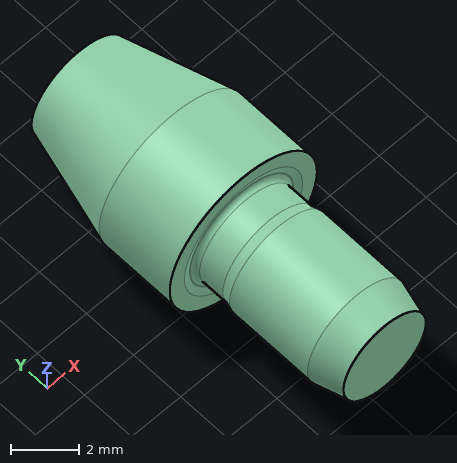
import cadquery as cq
import math

total_length = 13.0
stem_length = 6.0
collar_length = 3.0
stem_tip_length = 1.2
groove_length = 1.5

collar_radius = 6.0 / 2
stem_radius = 4.0 / 2
neck_radius = 3.8 / 2

taper = math.tan(math.radians(15))

undercut_outer_radius = 2.4
undercut_floor_radius = 2.12
undercut_fillet = 0.2

head_length = total_length - stem_length
nose_radius = collar_radius - (head_length - collar_length) * taper
stem_tip_radius = stem_radius - stem_tip_length * taper
neck_end = groove_length - (stem_radius - neck_radius) / taper
undercut_depth = (undercut_outer_radius - undercut_floor_radius) * taper

fillet_start_y = undercut_depth - undercut_fillet
fillet_end_radius = neck_radius + undercut_fillet
fillet_middle = (
    fillet_end_radius - undercut_fillet * math.sqrt(0.5),
    fillet_start_y + undercut_fillet * math.sqrt(0.5),
)

half_section = (
    cq.Workplane("XY")
    .moveTo(0, -stem_length)
    .lineTo(stem_tip_radius, -stem_length)
    .lineTo(stem_radius, -stem_length + stem_tip_length)
    .lineTo(stem_radius, -groove_length)
    .lineTo(neck_radius, -neck_end)
    .lineTo(neck_radius, fillet_start_y)
    .threePointArc(fillet_middle, (fillet_end_radius, undercut_depth))
    .lineTo(undercut_floor_radius, undercut_depth)
    .lineTo(undercut_outer_radius, 0)
    .lineTo(collar_radius, 0)
    .lineTo(collar_radius, collar_length)
    .lineTo(nose_radius, head_length)
    .lineTo(0, head_length)
    .close()
)

result = half_section.revolve(360, (0, 0, 0), (0, 1, 0))